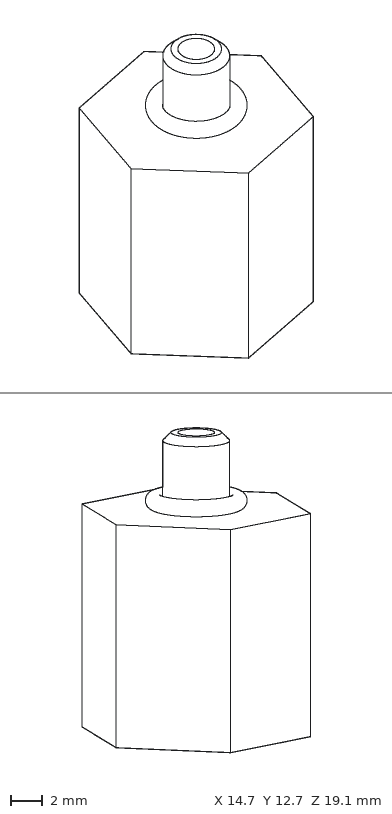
import cadquery as cq
import math

total_height = 19.05
hex_height = 14.2
hex_across_flats = 12.7
spigot_radius = 2.1
spigot_chamfer = 0.51
bore_radius = 1.15
ring_centre_radius = 2.65
ring_section_radius = 0.53

hex_across_corners = hex_across_flats / math.cos(math.radians(30))
spigot_height = total_height - hex_height


def make_fitting():
    """Hexagonal body with corners on the X axis, a chamfered spigot and a through bore."""
    hexagon = cq.Workplane("XY").polygon(6, hex_across_corners).extrude(hex_height)
    spigot = (
        cq.Workplane("XY", origin=(0, 0, hex_height))
        .circle(spigot_radius)
        .extrude(spigot_height)
        .faces(">Z")
        .chamfer(spigot_chamfer)
    )
    bore = cq.Workplane("XY").circle(bore_radius).extrude(total_height)
    return hexagon.union(spigot).cut(bore)


def make_sealing_ring():
    """Round-section ring resting on the hexagon's top face around the spigot."""
    ring_centre_height = hex_height + ring_section_radius
    return (
        cq.Workplane("XZ")
        .center(ring_centre_radius, ring_centre_height)
        .circle(ring_section_radius)
        .revolve(360, (-ring_centre_radius, 0), (-ring_centre_radius, 1))
    )


fitting = make_fitting()
sealing_ring = make_sealing_ring()

result = cq.Compound.makeCompound([fitting.val(), sealing_ring.val()])